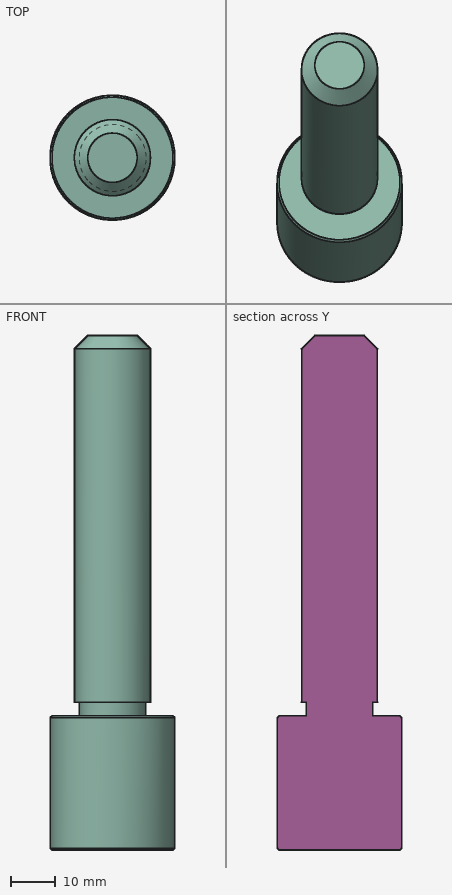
import cadquery as cq

total_length = 115.0
head_diameter = 28.0
head_height = 30.0
head_chamfer = 0.5
neck_diameter = 15.0
neck_height = 3.0
shank_diameter = 17.0
tip_chamfer = 3.0

shank_base = head_height + neck_height
shank_length = total_length - shank_base


def cylinder(diameter, height, base):
    """Upright cylinder on the Z axis, starting at the height base."""
    return cq.Workplane("XY").workplane(offset=base).circle(diameter / 2).extrude(height)


head = cylinder(head_diameter, head_height, 0).faces("<Z or >Z").edges().chamfer(head_chamfer)

neck = cylinder(neck_diameter, neck_height, head_height)

shank = cylinder(shank_diameter, shank_length, shank_base).faces(">Z").edges().chamfer(tip_chamfer)

centred = (0, 0, -total_length / 2)
result = head.union(neck).union(shank).translate(centred)